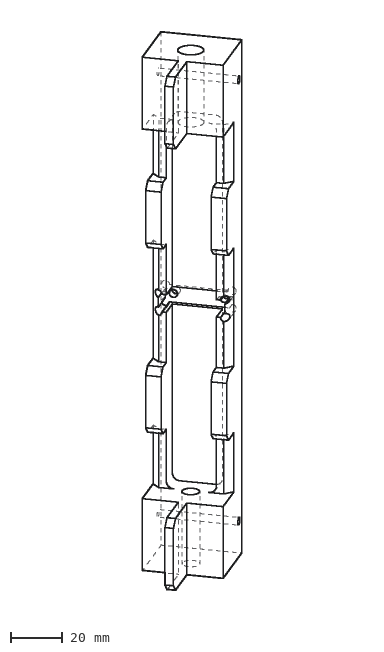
import cadquery as cq

width = 32.5
length = 214.0
overall_depth = 48.0

block_height = 30.0
block_depth = 28.0
tab_thickness = 3.5
corner_chamfer = 3.0

rail_depth = 15.0
rail_bevel = 3.2
ear_depth = 23.0
ear_height = 27.8
ear_offset = 38.5

pocket_width = 20.1
pocket_floor = 6.0
pocket_radius = 3.0

slot_height = 7.3
slot_width = 26.8
slot_floor = 4.0
relief_diameter = 3.2
screw_hole_diameter = 3.2
screw_spacing = 20.3

top_bore_diameter = 10.0
bottom_bore_diameter = 6.8
bore_centre_depth = 15.8
pin_hole_diameter = 3.0
pin_hole_centre_depth = 4.5

block_z = (length - block_height) / 2
inner_length = length - 2 * block_height


def box(size_x, back, front, size_z, z=0.0):
    """Box centred on x = 0, reaching from depth `back` to depth `front`."""
    block = cq.Workplane("XY").box(size_x, front - back, size_z)
    return block.translate((0, -(back + front) / 2, z))


def plate(thickness, front, height, z):
    """Upright plate whose two front corners are chamfered."""
    blank = box(thickness, 0, front, height, z)
    return blank.faces("<Y").edges("|X").chamfer(corner_chamfer)


def front_bores(points, diameter, floor):
    """Bores along Y at (x, z) points, from depth `floor` out past the front."""
    bores = cq.Workplane("XZ", origin=(0, -floor, 0)).pushPoints(points)
    return bores.circle(diameter / 2).extrude(overall_depth)


def long_bore(diameter, z):
    """Bore along Z through one end block."""
    bore = cq.Workplane("XY").circle(diameter / 2).extrude(block_height)
    return bore.translate((0, -bore_centre_depth, z - block_height / 2))


body = box(width, 0, rail_depth, length).faces("<Y").edges("|Z").chamfer(rail_bevel)

for side in (-1, 1):
    body = body.union(box(width, 0, block_depth, block_height, side * block_z))
    body = body.union(plate(tab_thickness, overall_depth, block_height, side * block_z))
    body = body.union(plate(width, ear_depth, ear_height, side * ear_offset))

pocket = box(pocket_width, pocket_floor, overall_depth, inner_length)
pocket = pocket.edges("|Y").fillet(pocket_radius)
body = body.cut(pocket)

slot_corners = [(x * slot_width / 2, z * slot_height / 2) for x in (-1, 1) for z in (-1, 1)]
screw_points = [(side * screw_spacing / 2, 0) for side in (-1, 1)]
body = body.cut(box(slot_width, slot_floor, overall_depth, slot_height))
body = body.cut(front_bores(slot_corners, relief_diameter, slot_floor))
body = body.cut(front_bores(screw_points, screw_hole_diameter, 0))

body = body.cut(long_bore(top_bore_diameter, block_z))
body = body.cut(long_bore(bottom_bore_diameter, -block_z))
pin_points = [(-pin_hole_centre_depth, side * block_z) for side in (-1, 1)]
pin_holes = cq.Workplane("YZ").pushPoints(pin_points).circle(pin_hole_diameter / 2)
body = body.cut(pin_holes.extrude(width, both=True))

result = body